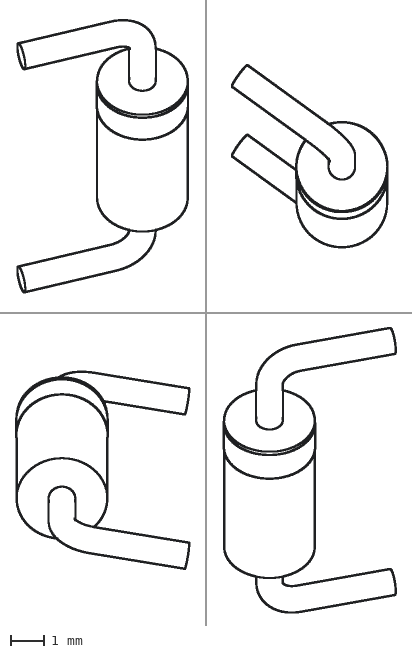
import cadquery as cq

overall_height = 10.8
lead_reach = 3.8

housing_diameter = 2.72
housing_length = 5.24
band_diameter = 2.74
band_width = 0.98
band_inset = 0.13

lead_diameter = 0.8
bend_radius = 0.9

housing_top = housing_length / 2
band_top = housing_top - band_inset
lead_arm_height = (overall_height - lead_diameter) / 2


def make_housing():
    """Plain cylinder centred on the origin, with its axis along Z."""
    return cq.Workplane("XY").cylinder(housing_length, housing_diameter / 2)


def make_band():
    """Thin sleeve that fits around the upper end of the housing."""
    return (
        cq.Workplane("XY", origin=(0, 0, band_top))
        .circle(band_diameter / 2)
        .circle(housing_diameter / 2)
        .extrude(-band_width)
    )


def make_lead(side):
    """Round wire from a housing end face, bent toward -Y; side is +1 for the top, -1 for the bottom."""
    face_height = side * housing_top
    arm_height = side * lead_arm_height
    bend_start_height = side * (lead_arm_height - bend_radius)
    path = (
        cq.Workplane("YZ")
        .moveTo(0, face_height)
        .lineTo(0, bend_start_height)
        .tangentArcPoint((-bend_radius, arm_height), relative=False)
        .lineTo(-lead_reach, arm_height)
    )
    return cq.Workplane("XY", origin=(0, 0, face_height)).circle(lead_diameter / 2).sweep(path)


housing = make_housing()
band = make_band()
leads = [make_lead(side) for side in (1, -1)]

result = cq.Compound.makeCompound(
    [housing.val(), band.val(), *[lead.val() for lead in leads]]
)